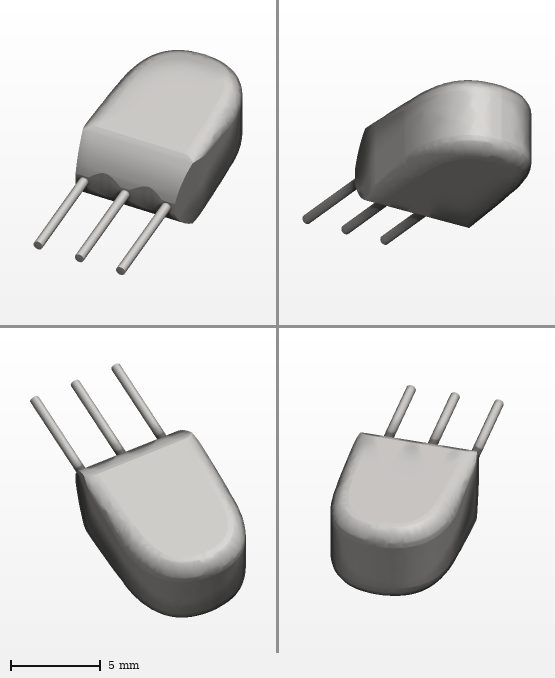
import cadquery as cq
import math

TOTAL_LENGTH = 16.72

BODY_WIDTH = 7.1
BODY_HEIGHT = 4.8
BODY_LENGTH = 10.7
ROUND_START = 6.15
HALF_WIDTH = BODY_WIDTH / 2
HALF_HEIGHT = BODY_HEIGHT / 2

SIDE_HANDLE = 2.39
CROWN_HANDLE = 2.76
EDGE_RADIUS = 1.0

LEAD_CORNER_X = 0.79
LEAD_CORNER_Z = 0.3
MID_CORNER_Y = 4.51
MID_CORNER_X = 0.92
MID_CORNER_Z = 0.69
CUT_MARGIN = 0.17

TAPER_ANGLE = math.radians(11.3)
BEND_RADIUS = 5.02
BEND_START = 2.98

SLOPE_START = 2.0
SLOPE_MID_Y = 0.82
SLOPE_MID_Z = 1.6
LEAD_FACE_HEIGHT = 0.77

LEAD_DIAMETER = 0.55
LEAD_PITCH = 2.54
LEAD_LENGTH = TOTAL_LENGTH - BODY_LENGTH

SCALLOP_INNER = LEAD_DIAMETER / 2
SCALLOP_OUTER = LEAD_PITCH - LEAD_DIAMETER / 2
SCALLOP_APEX = 1.34
SCALLOP_HANDLE = 0.3


def add_corner_section(plane, corner_x, corner_z):
    """Draw the waste outside the elliptical +X +Z corner on an XZ plane."""
    flat_x = HALF_WIDTH - corner_x
    flat_z = HALF_HEIGHT - corner_z
    outer_x = HALF_WIDTH + CUT_MARGIN
    outer_z = HALF_HEIGHT + CUT_MARGIN
    return (
        plane.moveTo(HALF_WIDTH, flat_z)
        .ellipseArc(corner_x, corner_z, 0, 90)
        .lineTo(flat_x, outer_z)
        .lineTo(outer_x, outer_z)
        .lineTo(outer_x, flat_z)
        .close()
    )


def make_corner_cutter():
    """Waste along the +X +Z edge; the rounding shrinks toward the lead face."""
    section = add_corner_section(cq.Workplane("XZ"), LEAD_CORNER_X, LEAD_CORNER_Z)
    section = section.workplane(offset=-MID_CORNER_Y)
    section = add_corner_section(section, MID_CORNER_X, MID_CORNER_Z)
    section = section.workplane(offset=MID_CORNER_Y - ROUND_START)
    return add_corner_section(section, EDGE_RADIUS, EDGE_RADIUS).loft()


def make_round_end():
    """Round end with a constant rounding along its curved edges."""
    handle_y = ROUND_START + SIDE_HANDLE
    crown = (0, BODY_LENGTH)
    outline = (
        cq.Workplane("XY", origin=(0, 0, -HALF_HEIGHT))
        .moveTo(HALF_WIDTH, ROUND_START)
        .bezier([(HALF_WIDTH, ROUND_START), (HALF_WIDTH, handle_y), (CROWN_HANDLE, BODY_LENGTH), crown])
        .bezier([crown, (-CROWN_HANDLE, BODY_LENGTH), (-HALF_WIDTH, handle_y), (-HALF_WIDTH, ROUND_START)])
        .close()
    )
    block = outline.extrude(BODY_HEIGHT)
    curved_edges = block.faces("|Z").edges("not(|X)")
    return curved_edges.fillet(EDGE_RADIUS)


def make_taper_envelope():
    """Prism whose plan outline bends inward and tapers toward the lead face."""
    bend_end_y = BEND_START - BEND_RADIUS * math.sin(TAPER_ANGLE)
    bend_end_x = HALF_WIDTH - BEND_RADIUS * (1 - math.cos(TAPER_ANGLE))
    bend_mid_y = BEND_START - BEND_RADIUS * math.sin(TAPER_ANGLE / 2)
    bend_mid_x = HALF_WIDTH - BEND_RADIUS * (1 - math.cos(TAPER_ANGLE / 2))
    lead_face_x = bend_end_x - bend_end_y * math.tan(TAPER_ANGLE)
    return (
        cq.Workplane("XY")
        .moveTo(-lead_face_x, 0)
        .lineTo(lead_face_x, 0)
        .lineTo(bend_end_x, bend_end_y)
        .threePointArc((bend_mid_x, bend_mid_y), (HALF_WIDTH, BEND_START))
        .lineTo(HALF_WIDTH, ROUND_START)
        .lineTo(-HALF_WIDTH, ROUND_START)
        .lineTo(-HALF_WIDTH, BEND_START)
        .threePointArc((-bend_mid_x, bend_mid_y), (-bend_end_x, bend_end_y))
        .close()
        .extrude(HALF_HEIGHT, both=True)
    )


def make_slope_envelope():
    """Prism along X whose side profile curves down to the narrow lead face."""
    face_z = LEAD_FACE_HEIGHT / 2
    return (
        cq.Workplane("YZ")
        .moveTo(0, -face_z)
        .lineTo(0, face_z)
        .threePointArc((SLOPE_MID_Y, SLOPE_MID_Z), (SLOPE_START, HALF_HEIGHT))
        .lineTo(ROUND_START, HALF_HEIGHT)
        .lineTo(ROUND_START, -HALF_HEIGHT)
        .lineTo(SLOPE_START, -HALF_HEIGHT)
        .threePointArc((SLOPE_MID_Y, -SLOPE_MID_Z), (0, -face_z))
        .close()
        .extrude(HALF_WIDTH, both=True)
    )


def make_scallop(side):
    """Shallow curved groove along Z; side is -1 or 1 along X."""
    inner = (side * SCALLOP_INNER, 0)
    outer = (side * SCALLOP_OUTER, 0)
    apex = (side * SCALLOP_APEX, SCALLOP_HANDLE)
    bottom = cq.Workplane("XY", origin=(0, 0, -HALF_HEIGHT))
    profile = bottom.moveTo(*inner).bezier([inner, apex, apex, outer]).close()
    return profile.extrude(BODY_HEIGHT)


def make_body():
    lead_end = make_taper_envelope().intersect(make_slope_envelope())
    upper_right = make_corner_cutter()
    upper_left = upper_right.mirror("YZ")
    for cutter in (upper_right, upper_left):
        lead_end = lead_end.cut(cutter).cut(cutter.mirror("XY"))
    body = lead_end.union(make_round_end())
    for side in (-1, 1):
        body = body.cut(make_scallop(side))
    return body


def make_lead(x):
    """Round wire that butts on the lead face and points toward -Y."""
    return cq.Workplane("XZ").center(x, 0).circle(LEAD_DIAMETER / 2).extrude(LEAD_LENGTH)


body = make_body()
leads = [make_lead(position * LEAD_PITCH) for position in (-1, 0, 1)]

result = cq.Compound.makeCompound([body.val(), *[lead.val() for lead in leads]])